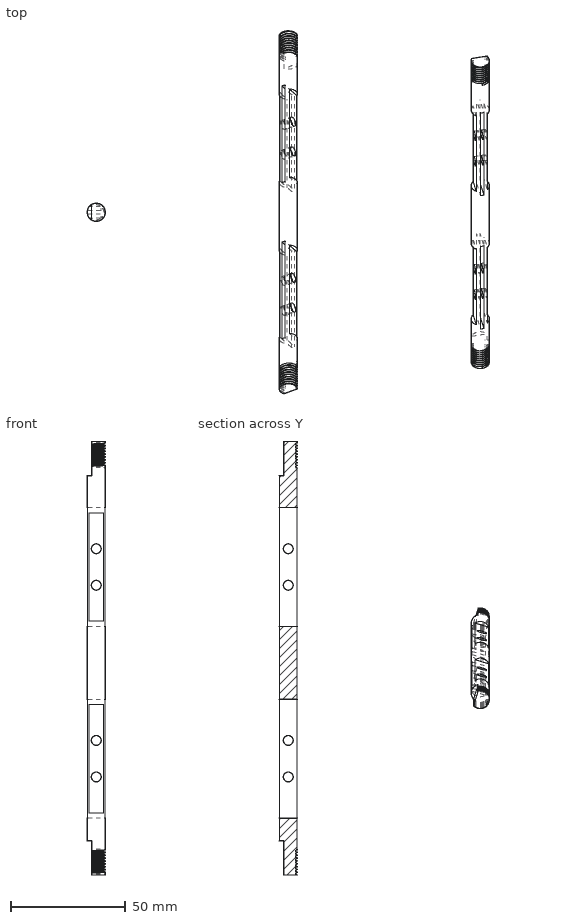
import cadquery as cq
import math

ROD_DIAMETER = 8.0
ROD_LENGTH = 190.0
ROD_RADIUS = ROD_DIAMETER / 2

FLAT_CENTRES = (51.0, 135.0)
FLAT_LENGTH = 47.5
FLAT_THICKNESS = 5.0
SLOT_LENGTH = 52.0
SLOT_WIDTH = 1.5
HOLE_DIAMETER = 4.2
HOLE_SPACING = 16.0

NOTCH_LENGTH = 15.0
NOTCH_FACE_X = -ROD_RADIUS / 2

THREAD_PITCH = 1.25
THREAD_TURNS = 8.5
THREAD_LENGTH = THREAD_TURNS * THREAD_PITCH
THREAD_START = 0.55
THREAD_DEPTH_RATIO = 0.5413
THREAD_DEPTH = THREAD_DEPTH_RATIO * THREAD_PITCH
THREAD_FLANK_ANGLE = 30.0
THREAD_CREST_FLAT = THREAD_PITCH / 8
THREAD_CLEARANCE = 0.1


def thread_groove(start_z):
    """Right-handed helical groove whose centre line starts at start_z."""
    slope = math.tan(math.radians(THREAD_FLANK_ANGLE))
    half_mouth = (THREAD_PITCH - THREAD_CREST_FLAT) / 2
    half_outer = half_mouth + THREAD_CLEARANCE * slope
    half_root = half_mouth - THREAD_DEPTH * slope
    root_radius = ROD_RADIUS - THREAD_DEPTH
    outer_radius = ROD_RADIUS + THREAD_CLEARANCE
    path = cq.Wire.makeHelix(THREAD_PITCH, THREAD_LENGTH, ROD_RADIUS)
    groove = (
        cq.Workplane("XZ")
        .polyline([
            (root_radius, -half_root),
            (outer_radius, -half_outer),
            (outer_radius, half_outer),
            (root_radius, half_root),
        ])
        .close()
        .sweep(cq.Workplane(path), isFrenet=True)
    )
    return groove.translate((0, 0, start_z))


def end_notch(centre_z):
    """Block that removes the -X side of the rod at one end."""
    block = cq.Workplane("XY").box(ROD_DIAMETER, 2 * ROD_DIAMETER, 2 * NOTCH_LENGTH)
    return block.translate((NOTCH_FACE_X - ROD_RADIUS, 0, centre_z))


def flat_cutters(centre_z):
    """Two blocks that leave parallel flats facing -Y and +Y."""
    block = cq.Workplane("XY").box(2 * ROD_DIAMETER, ROD_DIAMETER, FLAT_LENGTH)
    offset = (FLAT_THICKNESS + ROD_DIAMETER) / 2
    return block.translate((0, offset, centre_z)).union(block.translate((0, -offset, centre_z)))


def slot_cutter(centre_z):
    """Slot through the rod along X."""
    block = cq.Workplane("XY").box(2 * ROD_DIAMETER, SLOT_WIDTH, SLOT_LENGTH)
    return block.translate((0, 0, centre_z))


def cross_holes(centre_z):
    """Pair of holes through the flats along Y."""
    half_spacing = HOLE_SPACING / 2
    return (
        cq.Workplane("XZ")
        .pushPoints([(0, centre_z - half_spacing), (0, centre_z + half_spacing)])
        .circle(HOLE_DIAMETER / 2)
        .extrude(ROD_DIAMETER, both=True)
    )


rod = cq.Workplane("XY").circle(ROD_RADIUS).extrude(ROD_LENGTH)

mid_height = ROD_LENGTH / 2
lower_groove = thread_groove(THREAD_START)
upper_groove = lower_groove.rotate((0, 0, mid_height), (0, 1, mid_height), 180)
rod = rod.cut(lower_groove).cut(upper_groove)

for end_z in (0.0, ROD_LENGTH):
    rod = rod.cut(end_notch(end_z))

for flat_centre in FLAT_CENTRES:
    rod = rod.cut(flat_cutters(flat_centre))
    rod = rod.cut(slot_cutter(flat_centre))
    rod = rod.cut(cross_holes(flat_centre))

result = rod